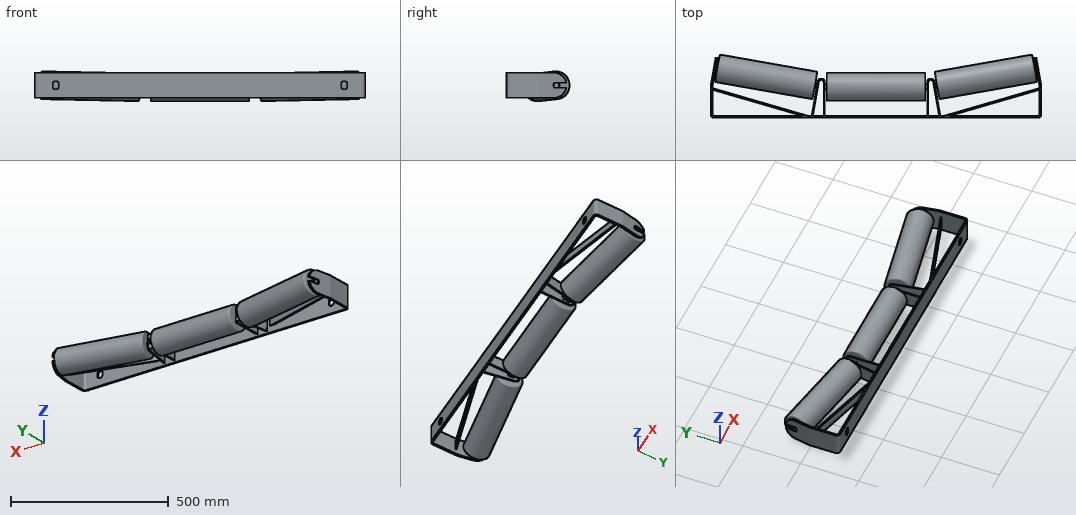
import cadquery as cq
import math

frame_length = 1050.0
frame_width = 80.0
sheet = 6.0
frame_bend = 13.0
wall_height = 101.0
wing_tip = 191.0
lean = 10.0
hole_width = 20.0
hole_height = 26.0
hole_x = 458.0

roller_length = 314.0
roller_diameter = 89.0
roller_rounding = 4.0
spindle_diameter = 20.0
spindle_flats = 16.0
spindle_gap = 5.0
middle_y = 99.0
middle_z = -6.0
side_x = 349.0
side_y = 130.0
side_z = middle_z / 2
side_drop = math.degrees(math.asin(-middle_z / roller_length))

support_top = 125.0
support_sheet = 4.0
support_width = 50.0
support_bend = 12.0

brace_width = 34.0
brace_sheet = 5.0
brace_wall_y = 95.0
brace_angle = 16.2

wall_inner_x = frame_length / 2 - sheet
spindle_reach = spindle_gap + support_sheet
support_face_x = roller_length / 2 + spindle_gap
SIDES = (-1, 1)


def place_side(body, side):
    """Move a body built for a roller along X at the origin to the left (-1) or right (+1) roller."""
    body = body.rotate((0, 0, 0), (0, 1, 0), -side * side_drop)
    body = body.rotate((0, 0, 0), (0, 0, 1), side * lean)
    return body.translate((side * side_x, side_y, side_z))


def place_middle(body):
    return body.translate((0, middle_y, middle_z))


def strip(outline, width):
    """Extrude an XY outline to the given width, centred on Z = 0."""
    return outline.extrude(width / 2, both=True)


def bar(diameter, length):
    """Round bar along X, centred at the origin."""
    end = cq.Plane(origin=(-length / 2, 0, 0), xDir=(0, 0, 1), normal=(1, 0, 0))
    return cq.Workplane(end).circle(diameter / 2).extrude(length)


def make_roller():
    drum = bar(roller_diameter, roller_length)
    drum = drum.faces("<X or >X").edges().fillet(roller_rounding)
    spindle_length = roller_length + 2 * spindle_reach
    spindle = bar(spindle_diameter, spindle_length)
    flats = cq.Workplane("XY").box(spindle_length, spindle_diameter, spindle_flats)
    return drum.union(spindle.intersect(flats))


def spindle_slot(side):
    """Open slot that takes one spindle end, with a bottom that follows the spindle."""
    start = side * roller_length / 2
    depth = side * (spindle_gap + 2 * support_bend)
    height = roller_diameter
    bottom = cq.Workplane("YZ").workplane(offset=start).circle(spindle_diameter / 2).extrude(depth)
    opening = (
        cq.Workplane("YZ").workplane(offset=start)
        .center(height / 2, 0).rect(height, spindle_diameter).extrude(depth)
    )
    flats = cq.Workplane("XY").box(roller_length + 2 * abs(depth), 2 * height, spindle_flats)
    return bottom.union(opening).intersect(flats)


def make_frame():
    half = frame_length / 2
    rise = wing_tip - wall_height
    tip_x = half - rise * math.tan(math.radians(lean))
    outline = [
        (-half, 0), (half, 0), (half, wall_height),
        (tip_x, wing_tip), (-tip_x, wing_tip), (-half, wall_height),
    ]
    body = strip(cq.Workplane("XY").polyline(outline).close(), frame_width)
    body = body.edges("|Z").edges("not >Y").fillet(frame_bend)
    body = body.faces(">Y or <Z or >Z").shell(-sheet)

    tip_circle_y = wing_tip - frame_width / 2
    tips = (
        cq.Workplane("YZ").rect(2 * tip_circle_y, frame_width).extrude(half, both=True)
        .union(cq.Workplane("YZ").center(tip_circle_y, 0).circle(frame_width / 2).extrude(half, both=True))
    )
    body = body.intersect(tips)

    for side in SIDES:
        body = body.cut(place_side(spindle_slot(side), side))

    holes = (
        cq.Workplane("XZ").pushPoints([(side * hole_x, 0) for side in SIDES])
        .slot2D(hole_height, hole_width, 90).extrude(-sheet)
    )
    return body.cut(holes)


def support_outline(radius):
    """Area under the right-hand support, with the bend at the given radius."""
    centre_x = support_face_x + support_bend
    centre_y = support_top - support_bend
    slope = math.radians(lean)
    half_turn = math.radians((180 - lean) / 2)
    arc_end = (centre_x + radius * math.cos(slope), centre_y + radius * math.sin(slope))
    arc_mid = (
        centre_x - radius * math.cos(half_turn),
        centre_y + radius * math.sin(half_turn),
    )
    foot_x = arc_end[0] + (arc_end[1] - sheet) * math.tan(slope)
    return (
        cq.Workplane("XY").moveTo(centre_x - radius, sheet)
        .lineTo(centre_x - radius, centre_y)
        .threePointArc(arc_mid, arc_end)
        .lineTo(foot_x, sheet)
        .close()
    )


def make_support(side):
    outer = support_outline(support_bend)
    inner = support_outline(support_bend - support_sheet)
    body = strip(outer, support_width).cut(strip(inner, support_width)).translate((0, 0, middle_z))
    if side < 0:
        body = body.mirror("YZ")
    body = body.cut(place_middle(spindle_slot(side)))
    return body.cut(place_side(spindle_slot(-side), side))


def make_brace(side):
    slope = math.radians(brace_angle)
    lower_y = brace_wall_y - brace_sheet / math.cos(slope)
    upper_foot = wall_inner_x - (brace_wall_y - sheet) / math.tan(slope)
    lower_foot = wall_inner_x - (lower_y - sheet) / math.tan(slope)
    outline = [
        (side * wall_inner_x, brace_wall_y), (side * wall_inner_x, lower_y),
        (side * lower_foot, sheet), (side * upper_foot, sheet),
    ]
    return strip(cq.Workplane("XY").polyline(outline).close(), brace_width)


frame = make_frame()
supports = [make_support(side) for side in SIDES]
braces = [make_brace(side) for side in SIDES]
rollers = [place_middle(make_roller())] + [place_side(make_roller(), side) for side in SIDES]

result = cq.Compound.makeCompound(
    [body.solids().val() for body in [frame] + supports + braces + rollers]
)